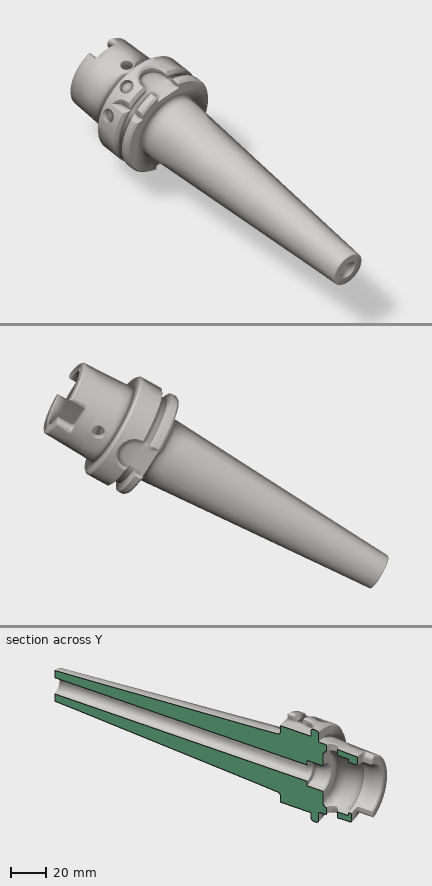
import cadquery as cq
import math


total_length = 208.0
shank_length = 32.0
collar_end = 47.6
ring_start = 51.4
ring_end = 57.8
root_fillet_length = 1.9

flange_diameter = 63.0
flange_radius = flange_diameter / 2
groove_radius = 27.2
shank_mouth_radius = 22.9
shank_base_radius = 24.1
nose_base_radius = 20.0
nose_tip_radius = 10.6

shank_chamfer = 0.8
flange_chamfer_length = 1.2
flange_chamfer_depth = 1.0
ring_bevel_length = 1.9
collar_bevel_length = 1.2
bevel_angle = 60.0
bevel_slope = math.tan(math.radians(bevel_angle))
ring_bevel_depth = ring_bevel_length * bevel_slope
collar_bevel_depth = collar_bevel_length * bevel_slope
root_fillet_depth = 1.0
root_fillet_radius = 2.0
tip_chamfer = 0.5

mouth_radius = 17.0
mouth_chamfer = 0.6
mouth_length = 12.3
undercut_radius = 19.1
cavity_depth = 29.1
cavity_floor_round = 3.1
thread_radius = 8.5
thread_chamfer = 0.6
thread_depth = 39.5
tool_bore_radius = 5.5

drive_slot_half_width = 6.2
drive_slot_lip_radius = 2.7
drive_slot_shoulder = 21.0
drive_slot_corner = 1.2
top_drive_slot_depth = 6.0
bottom_drive_slot_depth = 10.2

keyway_floor = 26.2
keyway_end = 37.2
top_keyway_width = 16.0
bottom_keyway_width = 18.0
keyway_chamfer = 1.2

coolant_hole_x = 23.0
coolant_hole_radius = 3.5
coolant_hole_chamfer = 0.5
pocket_x = 38.3
pocket_radius = 4.2
pocket_floor = 27.7
pocket_angles = (26.0, 63.0)
notch_wall = 19.8
notch_radius = 8.0
notch_round_x = 44.3

clearance = 10.5


def outer_body():
    """Turned outside: shank cone, collar, groove, ring and long tapered nose."""
    nose_start = ring_end + root_fillet_length
    profile = (
        cq.Workplane("XY")
        .moveTo(0, 0)
        .lineTo(0, shank_mouth_radius - shank_chamfer)
        .lineTo(shank_chamfer, shank_mouth_radius)
        .lineTo(shank_length, shank_base_radius)
        .lineTo(shank_length, flange_radius - flange_chamfer_depth)
        .lineTo(shank_length + flange_chamfer_length, flange_radius)
        .lineTo(collar_end - collar_bevel_length, flange_radius)
        .lineTo(collar_end, flange_radius - collar_bevel_depth)
        .lineTo(collar_end, groove_radius)
        .lineTo(ring_start, groove_radius)
        .lineTo(ring_start, flange_radius - ring_bevel_depth)
        .lineTo(ring_start + ring_bevel_length, flange_radius)
        .lineTo(ring_end - flange_chamfer_length, flange_radius)
        .lineTo(ring_end, flange_radius - flange_chamfer_depth)
        .lineTo(ring_end, nose_base_radius + root_fillet_depth)
        .radiusArc((nose_start, nose_base_radius), -root_fillet_radius)
        .lineTo(total_length - tip_chamfer, nose_tip_radius)
        .lineTo(total_length, nose_tip_radius - tip_chamfer)
        .lineTo(total_length, 0)
        .close()
    )
    return profile.revolve(360, (0, 0, 0), (1, 0, 0))


def bore():
    """Turned inside: mouth, undercut cavity, coolant-tube thread hole and tool bore."""
    round_start = cavity_depth - cavity_floor_round
    round_middle = cavity_floor_round * math.sqrt(0.5)
    profile = (
        cq.Workplane("XY")
        .lineTo(0, mouth_radius + mouth_chamfer)
        .lineTo(mouth_chamfer, mouth_radius)
        .lineTo(mouth_length, mouth_radius)
        .lineTo(mouth_length, undercut_radius)
        .lineTo(round_start, undercut_radius)
        .threePointArc(
            (round_start + round_middle, undercut_radius - cavity_floor_round + round_middle),
            (cavity_depth, undercut_radius - cavity_floor_round),
        )
        .lineTo(cavity_depth, thread_radius + thread_chamfer)
        .lineTo(cavity_depth + thread_chamfer, thread_radius)
        .lineTo(thread_depth, thread_radius)
        .lineTo(thread_depth, tool_bore_radius)
        .lineTo(total_length, tool_bore_radius)
        .lineTo(total_length, 0)
        .close()
    )
    return profile.revolve(360, (0, 0, 0), (1, 0, 0))


def place(shape, side):
    """Leave a +Z feature in place (side = 1) or turn it round the axis to -Z (side = -1)."""
    return shape if side > 0 else shape.rotate((0, 0, 0), (1, 0, 0), 180)


def drive_slot(depth, side):
    """Slot through the shank wall on the +Z (side = 1) or -Z (side = -1) side, opening onto side flats."""
    wall_top = drive_slot_shoulder - drive_slot_lip_radius
    lip_half_width = drive_slot_half_width + drive_slot_lip_radius
    outer_half_width = lip_half_width + clearance
    top = drive_slot_shoulder + clearance
    slot = (
        cq.Workplane("YZ")
        .moveTo(-drive_slot_half_width, 0)
        .lineTo(-drive_slot_half_width, wall_top)
        .radiusArc((-lip_half_width, drive_slot_shoulder), -drive_slot_lip_radius)
        .lineTo(-outer_half_width, drive_slot_shoulder)
        .lineTo(-outer_half_width, top)
        .lineTo(outer_half_width, top)
        .lineTo(outer_half_width, drive_slot_shoulder)
        .lineTo(lip_half_width, drive_slot_shoulder)
        .radiusArc((drive_slot_half_width, wall_top), -drive_slot_lip_radius)
        .lineTo(drive_slot_half_width, 0)
        .close()
        .extrude(depth)
    )
    tolerance = 0.2
    end_edges = cq.selectors.BoxSelector(
        (depth - tolerance, -outer_half_width, tolerance),
        (depth + tolerance, outer_half_width, drive_slot_shoulder + tolerance),
    )
    return place(slot.edges(end_edges).fillet(drive_slot_corner), side)


def keyway(width, side):
    """Round-ended flat-bottomed slot, open towards the nose, on the +Z or -Z side."""
    half_width = width / 2
    centre_x = keyway_end + half_width
    height = flange_radius + clearance - keyway_floor
    plane = cq.Workplane("XY").workplane(offset=keyway_floor)
    round_end = plane.center(centre_x, 0).circle(half_width).extrude(height)
    run = (
        plane.center(centre_x, -half_width)
        .rect(total_length, width, centered=False)
        .extrude(height)
    )
    return place(round_end.union(run), side)


def keyed_envelope():
    """Cylinder around the whole part with both keyways cut in and their rims chamfered."""
    envelope = cq.Workplane("YZ").circle(flange_radius).extrude(total_length)
    for width, side in ((top_keyway_width, 1), (bottom_keyway_width, -1)):
        envelope = envelope.cut(keyway(width, side))
        rim_height = (keyway_floor + flange_radius) / 2
        rim_box = cq.selectors.BoxSelector(
            (0, -flange_radius / 2, side * rim_height),
            (total_length, flange_radius / 2, side * (flange_radius + clearance)),
        )
        envelope = envelope.edges(rim_box).chamfer(keyway_chamfer)
    return envelope


def flange_pocket(angle):
    """Flat-bottomed round pocket cut radially into the collar."""
    pocket = (
        cq.Workplane("XY", origin=(pocket_x, 0, pocket_floor))
        .circle(pocket_radius)
        .extrude(clearance)
    )
    return pocket.rotate((0, 0, 0), (1, 0, 0), 90 - angle)


def notch():
    """Square-cornered notch along the flange rim, with an upright round end inside the collar."""
    plane = cq.Workplane("XY", origin=(notch_round_x, -notch_wall - notch_radius, notch_wall))
    round_end = plane.circle(notch_radius).extrude(clearance)
    run = (
        plane.center(0, -notch_radius)
        .rect(total_length, 2 * notch_radius, centered=False)
        .extrude(clearance)
    )
    return round_end.union(run)


def drill_coolant_holes(body):
    """Drill straight through both shank walls and break the two outer rims."""
    drill = (
        cq.Workplane("XY")
        .center(coolant_hole_x, 0)
        .circle(coolant_hole_radius)
        .extrude(shank_base_radius + clearance, both=True)
    )
    body = body.cut(drill)
    reach = coolant_hole_radius
    for side in (1, -1):
        rim_box = cq.selectors.BoxSelector(
            (coolant_hole_x - reach, -reach, side * (undercut_radius + shank_base_radius) / 2),
            (coolant_hole_x + reach, reach, side * (shank_base_radius + clearance)),
        )
        body = body.edges(rim_box).chamfer(coolant_hole_chamfer)
    return body


result = outer_body().intersect(keyed_envelope())
result = result.cut(bore())
result = drill_coolant_holes(result)
result = result.cut(drive_slot(top_drive_slot_depth, 1))
result = result.cut(drive_slot(bottom_drive_slot_depth, -1))
for angle in pocket_angles:
    result = result.cut(flange_pocket(angle))
result = result.cut(notch())